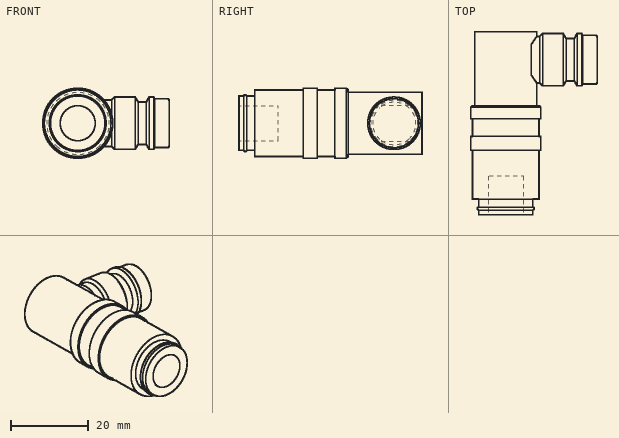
import cadquery as cq

barrel_length = 47.0
back_y = 7.2
front_y = back_y - barrel_length

back_radius = 8.0
sleeve_radius = 8.55
collar_radius = 9.0
nose_radius = 7.0

back_length = 19.0
rear_collar_width = 3.4
rear_collar_chamfer = 0.4
collar_gap = 4.5
front_collar_width = 3.6
nose_length = 4.0

ring_section_radius = 0.4
ring_projection = 0.3
ring_from_front = 1.6

bore_radius = 4.5
bore_depth = 10.0

stub_start_x = 6.5
grip_start_x = 8.7
grip_chamfer = 0.75
neck_start_x = 15.5
neck_end_x = 17.6
cone_length = 0.75
flange_end_x = 19.5
flange_chamfer = 0.25
arm_end_x = 23.5
arm_end_fillet = 0.5

stub_radius = 6.0
grip_radius = 6.75
neck_radius = 5.5
spigot_radius = 6.3


def barrel_section(radius, start_y, length):
    """Solid cylinder on the Y axis, running from start_y toward the front."""
    return cq.Workplane("XZ", origin=(0, start_y, 0)).circle(radius).extrude(length)


def make_barrel():
    """Stepped barrel with two collars and a reduced nose."""
    rear_collar_y = back_y - back_length
    front_collar_y = rear_collar_y - rear_collar_width - collar_gap
    sleeve_length = barrel_length - back_length - nose_length

    rear_collar = barrel_section(collar_radius, rear_collar_y, rear_collar_width)
    rear_collar = rear_collar.edges(">Y").chamfer(rear_collar_chamfer)

    barrel = barrel_section(back_radius, back_y, back_length)
    barrel = barrel.union(barrel_section(sleeve_radius, rear_collar_y, sleeve_length))
    barrel = barrel.union(barrel_section(nose_radius, front_y + nose_length, nose_length))
    barrel = barrel.union(rear_collar)
    return barrel.union(barrel_section(collar_radius, front_collar_y, front_collar_width))


def make_ring():
    """Round-section ring standing slightly proud of the nose."""
    centre_radius = nose_radius + ring_projection - ring_section_radius
    section = (
        cq.Workplane("XY")
        .center(centre_radius, front_y + ring_from_front)
        .circle(ring_section_radius)
    )
    axis_start = (-centre_radius, 0)
    axis_end = (-centre_radius, 1)
    return section.revolve(360, axis_start, axis_end)


def make_bore():
    """Cutter for the blind bore, opening at the front face."""
    return barrel_section(bore_radius, front_y + bore_depth, bore_depth)


def make_arm():
    """Side arm turned about the X axis: stub, grip, neck, flange and spigot."""
    profile = (
        cq.Workplane("XY")
        .moveTo(stub_start_x, 0)
        .lineTo(stub_start_x, stub_radius)
        .lineTo(grip_start_x, stub_radius)
        .lineTo(grip_start_x + grip_chamfer, grip_radius)
        .lineTo(neck_start_x - cone_length, grip_radius)
        .lineTo(neck_start_x, neck_radius)
        .lineTo(neck_end_x, neck_radius)
        .lineTo(neck_end_x + cone_length, grip_radius)
        .lineTo(flange_end_x, grip_radius)
        .lineTo(flange_end_x + flange_chamfer, spigot_radius)
        .lineTo(arm_end_x, spigot_radius)
        .lineTo(arm_end_x, 0)
        .close()
    )
    arm = profile.revolve(360, (0, 0), (1, 0))
    return arm.edges(">X").fillet(arm_end_fillet)


result = make_barrel().union(make_ring()).union(make_arm()).cut(make_bore())